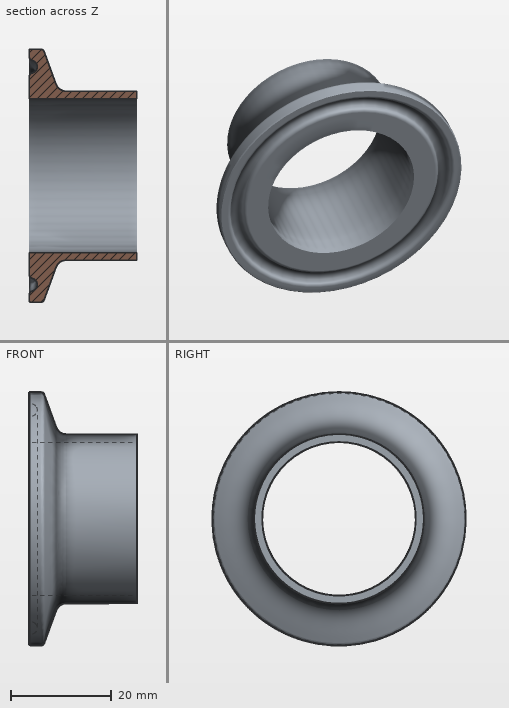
import cadquery as cq
import math

length = 21.5
flange_radius = 25.25
tube_radius = 16.85
bore_radius = 15.25

rim_width = 2.9
cone_angle = 20.0
rim_fillet = 0.8
root_fillet = 2.0
face_chamfer = 0.2

groove_center_radius = 21.7
groove_width = 4.05
groove_depth = 1.6
groove_wall_angle = 20.0
lip_fillet = 0.8


def revolve_profile(profile):
    """Revolve a closed (X, radius) profile about the X axis."""
    return profile.close().revolve(360, (0, 0, 0), (1, 0, 0))


def fillet_circle(body, x, radius, fillet_radius):
    """Fillet the circular edge lying at the given X and radius."""
    tolerance = 0.005
    edges = [
        edge for edge in body.edges("%CIRCLE").vals()
        if abs(edge.Center().x - x) < tolerance
        and abs(edge.radius() - radius) < tolerance
    ]
    return body.newObject(edges).fillet(fillet_radius)


def make_body():
    cone_run = (flange_radius - tube_radius) * math.tan(math.radians(cone_angle))
    root_x = rim_width + cone_run
    body = revolve_profile(
        cq.Workplane("XZ")
        .moveTo(0, bore_radius)
        .lineTo(0, flange_radius - face_chamfer)
        .lineTo(face_chamfer, flange_radius)
        .lineTo(rim_width, flange_radius)
        .lineTo(root_x, tube_radius)
        .lineTo(length, tube_radius)
        .lineTo(length, bore_radius)
    )
    body = fillet_circle(body, rim_width, flange_radius, rim_fillet)
    return fillet_circle(body, root_x, tube_radius, root_fillet)


def make_groove():
    wall = math.radians(groove_wall_angle)
    half_width = groove_width / 2

    lip_mid = math.radians((90 - groove_wall_angle) / 2)
    lip_mid_offset = half_width - lip_fillet * math.sin(lip_mid)
    lip_mid_x = lip_fillet * (1 - math.cos(lip_mid))
    lip_end_offset = half_width - lip_fillet * math.cos(wall)
    lip_end_x = lip_fillet * (1 - math.sin(wall))

    wall_slope = math.tan(wall)
    arc_drop = 1 - math.sin(wall)
    groove_bottom_radius = (
        (lip_end_offset - (groove_depth - lip_end_x) * wall_slope)
        / (math.cos(wall) - arc_drop * wall_slope)
    )
    bottom_offset = groove_bottom_radius * math.cos(wall)
    bottom_x = groove_depth - groove_bottom_radius * arc_drop

    center = groove_center_radius
    return revolve_profile(
        cq.Workplane("XZ")
        .moveTo(0, center - half_width)
        .threePointArc((lip_mid_x, center - lip_mid_offset), (lip_end_x, center - lip_end_offset))
        .lineTo(bottom_x, center - bottom_offset)
        .threePointArc((groove_depth, center), (bottom_x, center + bottom_offset))
        .lineTo(lip_end_x, center + lip_end_offset)
        .threePointArc((lip_mid_x, center + lip_mid_offset), (0, center + half_width))
    )


result = make_body().cut(make_groove())